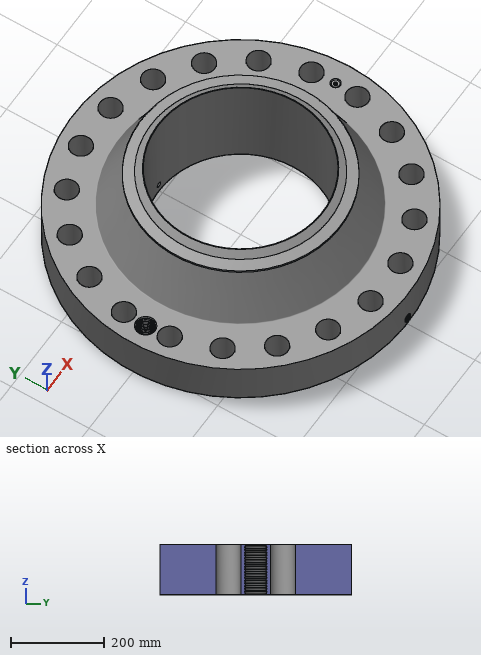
import cadquery as cq
import math

flange_radius = 429.0
raised_face_radius = 293.0
raised_face_height = 7.0
flange_top = 116.0
bore_radius = 209.0

hub_base_radius = 311.0
hub_base_fillet = 3.0
hub_end_radius = 255.0
cone_top = 231.0
hub_edge_top = 236.0
bevel_base_radius = 228.0
bevel_base_height = 241.0
neck_end_radius = 211.0
neck_top = 254.0

bolt_count = 20
bolt_circle_radius = 375.5
bolt_hole_diameter = 54.0

jack_major_radius = 24.0
jack_minor_radius = 21.5
jack_pitch = 6.0

recess_mouth_radius = 12.0
recess_floor_radius = 9.5
recess_depth = 2.0
blind_major_radius = 4.0
blind_minor_radius = 3.5
blind_pitch = 2.0
blind_thread_turns = 12
drill_point_angle = 118.0

tap_height = 24.0
tap_hole_diameter = 13.0
tap_major_radius = 10.0
tap_minor_radius = 9.0
tap_pitch = 2.0
tap_thread_turns = 12


def thread_profile(major_radius, minor_radius, pitch, turns):
    """Half section of a threaded hole: V grooves from depth 0 downwards along -Y."""
    profile = cq.Workplane("XY").lineTo(major_radius, 0)
    for turn in range(turns):
        profile = profile.lineTo(minor_radius, -(turn + 0.5) * pitch)
        profile = profile.lineTo(major_radius, -(turn + 1) * pitch)
    return profile


def threaded_cutter(major_radius, minor_radius, pitch, turns, point_depth=0.0):
    """Threaded hole cutter with its mouth at the origin, pointing along -Z."""
    depth = turns * pitch
    profile = thread_profile(major_radius, minor_radius, pitch, turns)
    if point_depth > 0:
        profile = profile.lineTo(minor_radius, -depth)
    profile = profile.lineTo(0, -depth - point_depth).close()
    cutter = profile.revolve(360, (0, 0, 0), (0, 1, 0))
    return cutter.rotate((0, 0, 0), (1, 0, 0), 90)


def flange_body():
    section = (
        cq.Workplane("XZ")
        .moveTo(bore_radius, 0)
        .lineTo(raised_face_radius, 0)
        .lineTo(raised_face_radius, raised_face_height)
        .lineTo(flange_radius, raised_face_height)
        .lineTo(flange_radius, flange_top)
        .lineTo(hub_base_radius, flange_top)
        .lineTo(hub_end_radius, cone_top)
        .lineTo(hub_end_radius, hub_edge_top)
        .lineTo(bevel_base_radius, bevel_base_height)
        .lineTo(neck_end_radius, neck_top)
        .lineTo(bore_radius, neck_top)
        .close()
    )
    body = section.revolve(360, (0, 0, 0), (0, 1, 0))
    disc_top = body.faces("+Z").faces("<Z")
    hub_foot = disc_top.edges(cq.selectors.RadiusNthSelector(0))
    return hub_foot.fillet(hub_base_fillet)


def bolt_holes():
    half_step = 180.0 / bolt_count
    return (
        cq.Workplane("XY")
        .polarArray(bolt_circle_radius, half_step, 360, bolt_count)
        .circle(bolt_hole_diameter / 2)
        .extrude(flange_top)
    )


def jack_hole():
    turns = math.ceil((flange_top - raised_face_height) / jack_pitch)
    cutter = threaded_cutter(jack_major_radius, jack_minor_radius, jack_pitch, turns)
    return cutter.translate((-bolt_circle_radius, 0, flange_top))


def recessed_blind_hole():
    point_depth = blind_minor_radius / math.tan(math.radians(drill_point_angle / 2))
    hole = threaded_cutter(
        blind_major_radius, blind_minor_radius, blind_pitch, blind_thread_turns, point_depth
    )
    recess = cq.Workplane("XY").add(
        cq.Solid.makeCone(recess_floor_radius, recess_mouth_radius, recess_depth)
    )
    cutter = hole.union(recess)
    return cutter.translate((bolt_circle_radius, 0, flange_top - recess_depth))


def tap_socket():
    """Threaded socket entering the rim on the -Y side."""
    socket = threaded_cutter(tap_major_radius, tap_minor_radius, tap_pitch, tap_thread_turns)
    socket = socket.rotate((0, 0, 0), (1, 0, 0), 90)
    return socket.translate((0, -flange_radius, tap_height))


def tap_hole():
    """Plain hole joining both taps straight across the bore."""
    return (
        cq.Workplane("XZ", origin=(0, 0, tap_height))
        .circle(tap_hole_diameter / 2)
        .extrude(flange_radius, both=True)
    )


result = flange_body().cut(bolt_holes()).cut(jack_hole()).cut(recessed_blind_hole()).cut(tap_hole())
for side_angle in (0, 180):
    result = result.cut(tap_socket().rotate((0, 0, 0), (0, 0, 1), side_angle))